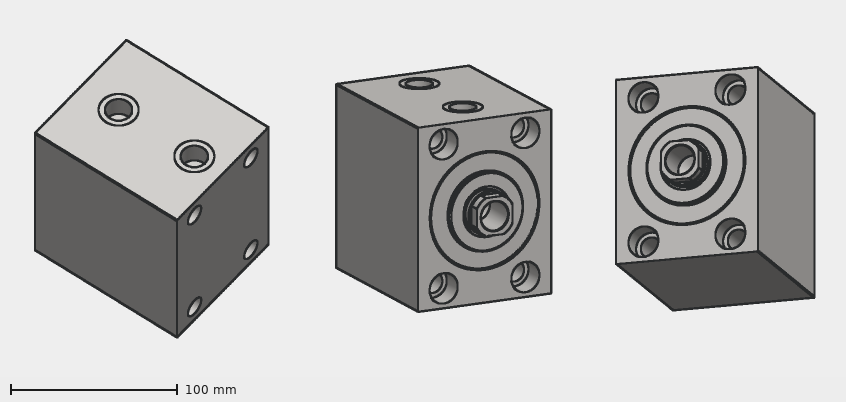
import cadquery as cq


block_length = 108.0
block_width = 90.0
block_height = 115.0
edge_chamfer = 0.5

bolt_spacing_y = 55.0
bolt_spacing_z = 90.0
bolt_hole_diameter = 13.0
counterbore_diameter = 19.0
counterbore_depth = 14.6

port_positions_x = (28.8, 86.4)
spotface_diameter = 24.0
spotface_depth = 0.1
port_diameter = 16.4
port_depth = 14.6
feed_hole_diameter = 6.0

gland_diameter = 72.0
gland_length = 19.5
gland_seat_chamfer = 1.0
boss_diameter = 49.9
boss_length = 3.0
boss_chamfer = 1.0
wiper_recess_diameter = 31.5
wiper_recess_depth = 1.0

rod_diameter = 28.0
rod_protrusion = 13.5
rod_chamfer = 0.5
rod_rear_margin = 7.3
tip_length = 6.9
tip_across_flats = 23.9
tip_diameter = 26.7
rod_thread_diameter = 18.2
rod_thread_chamfer = 0.4
rod_thread_depth = 24.3
drill_point_height = 5.5

rod_front = -rod_protrusion
rod_shoulder = rod_front + tip_length
rod_rear = port_positions_x[-1] + rod_rear_margin


def x_cylinder(diameter, start, end):
    """Solid cylinder on the X axis from start to end."""
    return cq.Workplane("YZ", origin=(start, 0, 0)).circle(diameter / 2).extrude(end - start)


def hole_cutter_down(diameter, x, bottom):
    """Vertical cylinder from the top face of the block down to the height `bottom`."""
    depth = block_height / 2 - bottom
    return cq.Workplane("XY", origin=(x, 0, bottom)).circle(diameter / 2).extrude(depth)


def cut_mounting_holes(block):
    return (
        block.faces("<X")
        .workplane(centerOption="CenterOfBoundBox")
        .rect(bolt_spacing_y, bolt_spacing_z, forConstruction=True)
        .vertices()
        .cboreHole(bolt_hole_diameter, counterbore_diameter, counterbore_depth)
    )


def cut_gland_seat(block):
    block = block.cut(x_cylinder(gland_diameter, 0, gland_length))
    mouth = cq.selectors.RadiusNthSelector(-1)
    return block.faces("<X").edges(mouth).chamfer(gland_seat_chamfer)


def cut_ports(block):
    """Each port has a spotface, a threaded bore and a feed hole that ends at the piston rod."""
    top = block_height / 2
    for x in port_positions_x:
        block = block.cut(hole_cutter_down(spotface_diameter, x, top - spotface_depth))
        block = block.cut(hole_cutter_down(port_diameter, x, top - port_depth))
        block = block.cut(hole_cutter_down(feed_hole_diameter, x, 0))
    return block


def make_block():
    block = cq.Workplane("XY").box(block_length, block_width, block_height, centered=(False, True, True))
    block = block.edges("|X").chamfer(edge_chamfer)
    block = cut_mounting_holes(block)
    block = cut_gland_seat(block)
    block = cut_ports(block)
    return block.cut(x_cylinder(rod_diameter, 0, rod_rear))


def make_gland():
    boss = x_cylinder(boss_diameter, -boss_length, 0).faces("<X").chamfer(boss_chamfer)
    gland = x_cylinder(gland_diameter, 0, gland_length).union(boss)
    gland = gland.cut(x_cylinder(rod_diameter, -boss_length, gland_length))
    return gland.cut(x_cylinder(wiper_recess_diameter, -boss_length, wiper_recess_depth - boss_length))


def make_rod():
    """Rod with a round-cornered square wrench tip and a drilled thread hole with a chamfered mouth."""
    shaft = x_cylinder(rod_diameter, rod_shoulder, rod_rear).faces("<X").chamfer(rod_chamfer)
    square = (
        cq.Workplane("YZ", origin=(rod_front, 0, 0))
        .rect(tip_across_flats, tip_across_flats)
        .extrude(tip_length)
    )
    tip = x_cylinder(tip_diameter, rod_front, rod_shoulder).intersect(square)
    thread_radius = rod_thread_diameter / 2
    thread_end = rod_front + rod_thread_depth
    thread_hole = (
        cq.Workplane("XY")
        .moveTo(rod_front, 0)
        .lineTo(rod_front, thread_radius + rod_thread_chamfer)
        .lineTo(rod_front + rod_thread_chamfer, thread_radius)
        .lineTo(thread_end, thread_radius)
        .lineTo(thread_end + drill_point_height, 0)
        .close()
        .revolve(360, (0, 0, 0), (1, 0, 0))
    )
    return shaft.union(tip).cut(thread_hole)


block = make_block()
gland = make_gland()
rod = make_rod()

result = cq.Compound.makeCompound([block.val(), gland.val(), rod.val()])